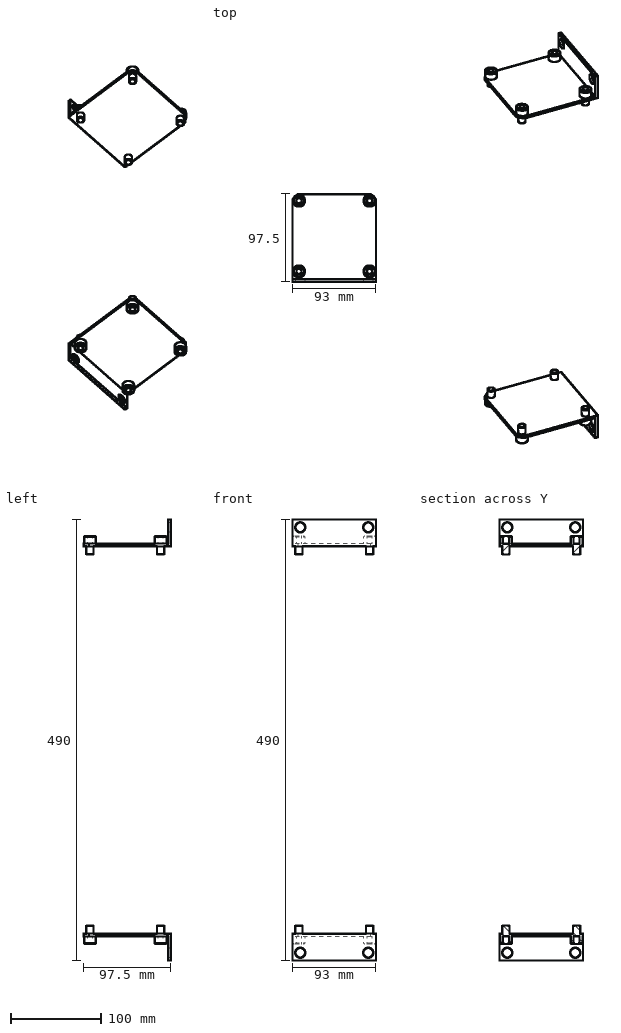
import cadquery as cq

width = 93.0
depth = 97.5
pair_height = 490.0

plate_thickness = 3.0
flange_thickness = 3.5
flange_height = 30.0
plate_corner_chamfer = 6.5

flange_hole_diameter = 11.0
flange_hole_side_inset = 9.0
flange_hole_edge_inset = 9.0

post_inset = 7.5
collar_diameter = 13.0
collar_height = 8.5
collar_rim_chamfer = 1.0
collar_bore_diameter = 6.0
stud_diameter = 8.5
stud_length = 9.5
stud_tip_chamfer = 1.0

flange_top_z = pair_height / 2
plate_bottom_z = flange_top_z - flange_height
plate_top_z = plate_bottom_z + plate_thickness
rear_y = depth / 2
front_y = -depth / 2
post_x = width / 2 - post_inset
post_pitch = 2 * post_x
rear_post_y = rear_y - post_inset
front_post_y = rear_post_y - post_pitch
post_places = [(x, y) for x in (-post_x, post_x) for y in (front_post_y, rear_post_y)]


def make_plate():
    plate = cq.Workplane("XY").box(width, depth, plate_thickness, centered=(True, True, False))
    plate = plate.edges("|Z and >Y").chamfer(plate_corner_chamfer)
    return plate.translate((0, 0, plate_bottom_z))


def make_flange():
    flange = cq.Workplane("XY").box(width, flange_thickness, flange_height, centered=(True, False, False))
    flange = flange.translate((0, front_y, plate_bottom_z))
    hole_x = width / 2 - flange_hole_side_inset
    hole_z = flange_top_z - flange_hole_edge_inset
    holes = (
        cq.Workplane("XZ", origin=(0, front_y + flange_thickness, 0))
        .pushPoints([(-hole_x, hole_z), (hole_x, hole_z)])
        .circle(flange_hole_diameter / 2)
        .extrude(flange_thickness)
    )
    return flange.cut(holes)


def make_stud():
    """Round stud pointing down from the plate, with a chamfered tip."""
    stud = cq.Workplane("XY").circle(stud_diameter / 2).extrude(-stud_length)
    stud = stud.faces("<Z").chamfer(stud_tip_chamfer)
    return stud.translate((0, 0, plate_bottom_z))


def make_collar():
    """Round collar standing on the plate, with a chamfered rim and a bore down to the plate."""
    collar = cq.Workplane("XY").circle(collar_diameter / 2).extrude(collar_height)
    collar = collar.faces(">Z").chamfer(collar_rim_chamfer)
    bore = cq.Workplane("XY").circle(collar_bore_diameter / 2).extrude(collar_height)
    return collar.cut(bore).translate((0, 0, plate_top_z))


def make_bracket(is_lower):
    """Plate, flange and corner posts as one solid; the lower one is flipped about the middle plane."""
    bracket = make_plate().union(make_flange())
    post_pieces = [make_stud(), make_collar()]
    for x, y in post_places:
        for piece in post_pieces:
            bracket = bracket.union(piece.translate((x, y, 0)))
    if is_lower:
        bracket = bracket.mirror("XY")
    return bracket.solids().val()


brackets = [make_bracket(is_lower) for is_lower in (False, True)]

result = cq.Compound.makeCompound(brackets)